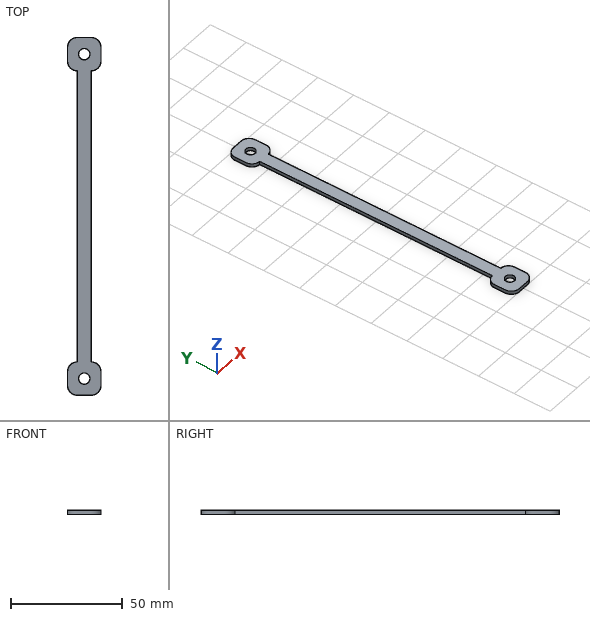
import cadquery as cq

length = 160.0
thickness = 2.0

pad_size = 15.0
pad_corner_radius = 4.5
hole_diameter = 5.0

strip_width = 6.4

pad_spacing = length - pad_size
pad_centers = [(0, -pad_spacing / 2), (0, pad_spacing / 2)]


def make_pads():
    """Two rounded square pads, one at each end of the bar."""
    return (
        cq.Workplane("XY")
        .pushPoints(pad_centers)
        .rect(pad_size, pad_size)
        .extrude(thickness)
        .edges("|Z")
        .fillet(pad_corner_radius)
    )


def make_strip():
    """Straight strip running between the pad centers."""
    return cq.Workplane("XY").rect(strip_width, pad_spacing).extrude(thickness)


def make_holes():
    """Through-hole cutters at the pad centers."""
    return cq.Workplane("XY").pushPoints(pad_centers).circle(hole_diameter / 2).extrude(thickness)


result = make_pads().union(make_strip()).cut(make_holes())